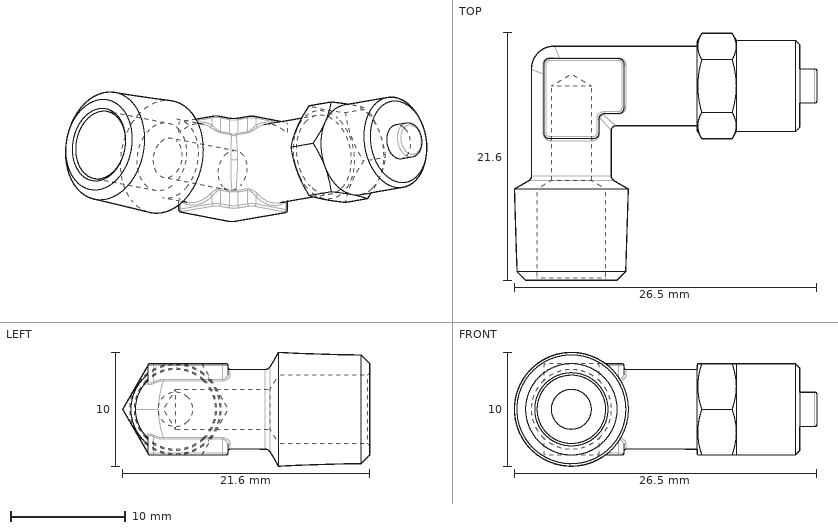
import cadquery as cq
import math


overall_length = 26.5
tube_radius = 3.5
elbow_outer_fillet = 2.0
elbow_inner_fillet = 0.4

thread_diameter = 10.0
thread_radius = thread_diameter / 2
thread_start = 9.0
thread_end = 17.0
thread_taper = 1 / 16
thread_tip_radius = 4.0
thread_tip_chamfer = 0.77
flare_angle = 30.0
flare_fillet = 0.5
thread_leg_base = 7.15

bore_radius = 3.0
bore_depth = 8.0
bore_chamfer = 0.2
inner_bore_radius = 1.75
drill_point_angle = 118.0

hex_across_flats = 8.0
hex_start = 11.0
hex_end = 14.5
hex_face_radius = 3.9
hex_chamfer_angle = 30.0
sleeve_radius = hex_across_flats / 2
sleeve_end = 20.0
sleeve_chamfer = 0.4
stub_radius = 1.5
stub_end = overall_length - thread_radius
stub_fillet = 0.2

pad_half_width = 2.4
pad_reach = 4.6
pad_height = hex_across_flats
pad_corner_radius = 0.5
pad_top_fillet = 0.19
pad_base_fillet = 0.19


def tan_deg(angle):
    return math.tan(math.radians(angle))


def turn_to_thread_leg(solid):
    """Swing a solid built along +X onto the -Y axis."""
    return solid.rotate((0, 0, 0), (0, 0, 1), -90)


def revolve_about_x(profile):
    """Turn a profile of (x, radius), closed along the axis, about X."""
    return profile.close().revolve(360, (0, 0, 0), (1, 0, 0))


def make_rod(start, end, radius):
    """Round rod along X."""
    return cq.Workplane("YZ").workplane(offset=start).circle(radius).extrude(end - start)


def make_mitred_tubes():
    """Two solid tubes meeting in a sharp mitre on the plane y = -x."""
    reach = 2 * hex_start
    tube_x = make_rod(-reach, hex_start, tube_radius)
    tube_y = turn_to_thread_leg(make_rod(-reach, thread_leg_base, tube_radius))
    x_side = cq.Workplane("XY").polyline([(-reach, reach), (reach, -reach), (reach, reach)]).close()
    x_side = x_side.extrude(reach, both=True)
    return tube_x.intersect(x_side).union(tube_y.cut(x_side))


def make_pads():
    """L-shaped block whose ends stand out above and below the tubes."""
    width, reach = pad_half_width, pad_reach
    corners = [(-width, width), (reach, width), (reach, -width),
               (width, -width), (width, -reach), (-width, -reach)]
    block = cq.Workplane("XY").polyline(corners).close().extrude(pad_height / 2, both=True)
    block = block.edges("|Z").fillet(pad_corner_radius)
    return block.faces("<Z or >Z").edges().fillet(pad_top_fillet)


def fillet_mitre(body, side, radius):
    """Round the mitre edge; side is -1 at the outer corner and +1 at the inner corner."""
    corner = tube_radius * side
    margin = tube_radius / 2
    near_corner = cq.selectors.BoxSelector(
        (corner - margin, -corner - margin, -margin),
        (corner + margin, -corner + margin, margin),
    )
    return body.edges(near_corner).edges("not (|X or |Y or |Z)").fillet(radius)


def fillet_pad_bases(body):
    """Blend the foot of both pads into the tubes."""
    clearance = 0.05
    lowest_foot = math.sqrt(tube_radius**2 - pad_half_width**2)
    low = lowest_foot - 5 * clearance
    feet = []
    for side in (-1, 1):
        around_foot = cq.selectors.BoxSelector(
            (-pad_half_width - clearance, -pad_reach - clearance, side * low),
            (pad_reach + clearance, pad_half_width + clearance, side * (tube_radius + clearance)),
        )
        feet += body.edges(around_foot).edges("not |Z").vals()
    return body.newObject(feet).fillet(pad_base_fillet)


def make_elbow():
    """Elbow with pads; the mitre edges are rounded before the pad feet that cross them."""
    elbow = make_mitred_tubes().union(make_pads())
    elbow = fillet_mitre(elbow, -1, elbow_outer_fillet)
    elbow = fillet_mitre(elbow, 1, elbow_inner_fillet)
    return fillet_pad_bases(elbow)


def make_thread_leg():
    """Tube end flaring out to a tapered, chamfered thread body."""
    flare_start = thread_start - (thread_radius - tube_radius) * tan_deg(flare_angle)
    turn = 90 - flare_angle
    tangent = flare_fillet * tan_deg(turn / 2)
    fillet_end = (flare_start + tangent * math.cos(math.radians(turn)),
                  tube_radius + tangent * math.sin(math.radians(turn)))
    taper_end = thread_end - thread_tip_chamfer
    taper_end_radius = thread_radius - (taper_end - thread_start) * thread_taper / 2
    profile = (
        cq.Workplane("XY")
        .moveTo(thread_leg_base, 0)
        .lineTo(thread_leg_base, tube_radius)
        .lineTo(flare_start - tangent, tube_radius)
        .tangentArcPoint(fillet_end, relative=False)
        .lineTo(thread_start, thread_radius)
        .lineTo(taper_end, taper_end_radius)
        .lineTo(thread_end, thread_tip_radius)
        .lineTo(thread_end, 0)
    )
    return turn_to_thread_leg(revolve_about_x(profile))


def make_bore():
    """Chamfered bore, conical step, smaller bore up to the other leg's axis and a drill point."""
    slope = tan_deg(drill_point_angle / 2)
    step = thread_end - bore_depth
    step_end = step - (bore_radius - inner_bore_radius) / slope
    profile = cq.Workplane("XY").polyline([
        (thread_end, 0),
        (thread_end, bore_radius + bore_chamfer),
        (thread_end - bore_chamfer, bore_radius),
        (step, bore_radius),
        (step_end, inner_bore_radius),
        (0, inner_bore_radius),
        (-inner_bore_radius / slope, 0),
    ])
    return turn_to_thread_leg(revolve_about_x(profile))


def make_hexagon():
    """Hexagon with corners on Y, its corners chamfered at both ends."""
    corner_radius = hex_across_flats / math.sqrt(3)
    chamfer = (corner_radius - hex_face_radius) * tan_deg(hex_chamfer_angle)
    prism = (
        cq.Workplane("YZ")
        .workplane(offset=hex_start)
        .polygon(6, 2 * corner_radius)
        .extrude(hex_end - hex_start)
    )
    chamfer_envelope = revolve_about_x(cq.Workplane("XY").polyline([
        (hex_start, 0),
        (hex_start, hex_face_radius),
        (hex_start + chamfer, corner_radius),
        (hex_end - chamfer, corner_radius),
        (hex_end, hex_face_radius),
        (hex_end, 0),
    ]))
    return prism.intersect(chamfer_envelope)


def make_sleeve():
    """Chamfered sleeve rooted inside the hexagon."""
    root = (hex_start + hex_end) / 2
    sleeve = make_rod(root, sleeve_end, sleeve_radius)
    return sleeve.faces(">X").edges().chamfer(sleeve_chamfer)


def make_stub():
    """Small round stub on the end of the sleeve."""
    stub = make_rod(sleeve_end, stub_end, stub_radius)
    return stub.faces(">X").edges().fillet(stub_fillet)


result = (
    make_elbow()
    .union(make_thread_leg())
    .union(make_hexagon())
    .union(make_sleeve())
    .union(make_stub())
    .cut(make_bore())
)